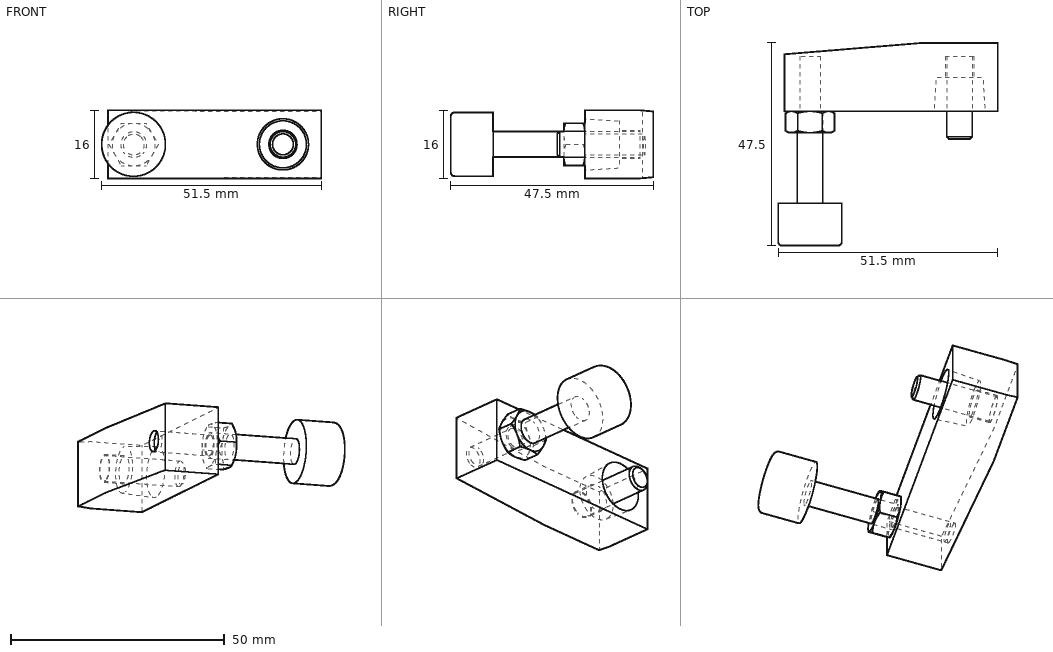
import cadquery as cq
import math


block_length = 50.0
block_size = 16.0
ramp_length = 31.85
ramp_drop = 2.65
edge_relief_depth = 3.25
edge_relief_angle = 5.0

screw_diameter = 6.0
screw_end_diameter = 4.9
knob_diameter = 15.0
knob_height = 10.0
knob_overhang = 1.5
screw_x = knob_diameter / 2 - knob_overhang
knob_radius = 1.0
knob_front_y = -31.45
screw_end_y = 12.9

nut_across_flats = 10.0
nut_across_corners = nut_across_flats / math.cos(math.radians(30))
nut_thickness = 5.0
nut_chamfer_angle = 30.0

pin_x = 41.0
pin_diameter = 6.0
pin_tip_diameter = 4.9
pin_chamfer = (pin_diameter - pin_tip_diameter) / 2
pin_projection = 6.5
pocket_mouth_diameter = 12.0
pocket_floor_diameter = 11.0
pocket_depth = 8.0
clearance_diameter = 6.6
pin_end_y = 12.9


def cylinder_along_y(x, diameter, y_start, y_end):
    """Cylinder parallel to Y, centred on Z = 0."""
    solid = cq.Solid.makeCylinder(
        diameter / 2, y_end - y_start, cq.Vector(x, y_start, 0), cq.Vector(0, 1, 0)
    )
    return cq.Workplane(obj=solid)


def make_block():
    half_height = block_size / 2
    plan = (
        cq.Workplane("XY")
        .polyline([
            (0, 0),
            (block_length, 0),
            (block_length, block_size),
            (ramp_length, block_size),
            (0, block_size - ramp_drop),
        ])
        .close()
        .extrude(half_height, both=True)
    )
    relief_y = block_size - edge_relief_depth
    edge_relief_slope = math.tan(math.radians(edge_relief_angle))
    rear_half_height = half_height - edge_relief_depth * edge_relief_slope
    profile = (
        cq.Workplane("YZ")
        .polyline([
            (0, -half_height),
            (relief_y, -half_height),
            (block_size, -rear_half_height),
            (block_size, rear_half_height),
            (relief_y, half_height),
            (0, half_height),
        ])
        .close()
        .extrude(block_length)
    )
    pocket = cq.Workplane(obj=cq.Solid.makeCone(
        pocket_mouth_diameter / 2, pocket_floor_diameter / 2, pocket_depth,
        cq.Vector(pin_x, 0, 0), cq.Vector(0, 1, 0),
    ))
    return (
        plan.intersect(profile)
        .cut(cylinder_along_y(screw_x, screw_end_diameter, 0, block_size))
        .cut(pocket)
        .cut(cylinder_along_y(pin_x, clearance_diameter, 0, pin_end_y))
    )


def make_knob_screw():
    knob_rear_y = knob_front_y + knob_height
    knob = cylinder_along_y(screw_x, knob_diameter, knob_front_y, knob_rear_y)
    knob = knob.faces("<Y").edges().fillet(knob_radius)
    shank = cylinder_along_y(screw_x, screw_diameter, knob_rear_y, 0)
    reduced_end = cylinder_along_y(screw_x, screw_end_diameter, 0, screw_end_y)
    return knob.union(shank).union(reduced_end)


def make_nut():
    hexagon = (
        cq.Workplane("XZ", origin=(screw_x, 0, 0))
        .polygon(6, nut_across_corners)
        .extrude(nut_thickness)
    )
    face_radius = nut_across_flats / 2
    corner_radius = nut_across_corners / 2
    chamfer_depth = (corner_radius - face_radius) * math.tan(math.radians(nut_chamfer_angle))
    envelope = (
        cylinder_along_y(screw_x, nut_across_corners, -nut_thickness, 0)
        .faces("<Y or >Y").edges()
        .chamfer(chamfer_depth, corner_radius - face_radius)
    )
    bore = cylinder_along_y(screw_x, screw_diameter, -nut_thickness, 0)
    return hexagon.intersect(envelope).cut(bore)


def make_pin():
    pin = cylinder_along_y(pin_x, pin_diameter, -pin_projection, pin_end_y)
    return pin.faces("<Y").edges().chamfer(pin_chamfer)


block = make_block()
knob_screw = make_knob_screw()
nut = make_nut()
pin = make_pin()

result = cq.Compound.makeCompound([block.val(), knob_screw.val(), nut.val(), pin.val()])